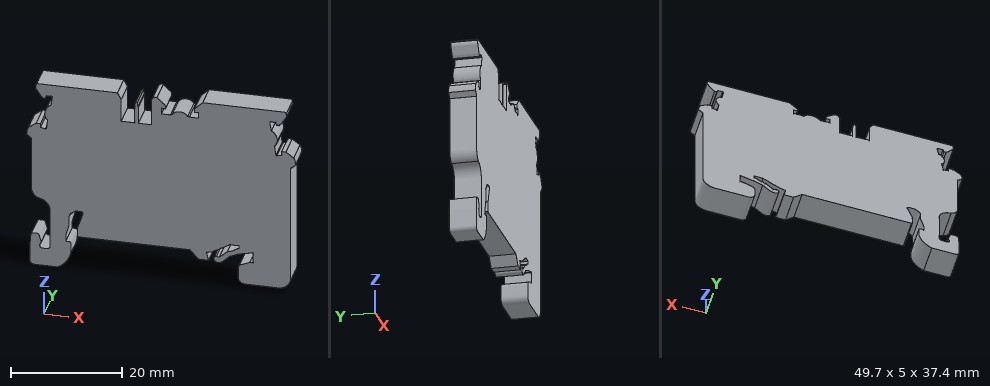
import cadquery as cq

LENGTH = 49.7
THICKNESS = 5.0
HEIGHT = 37.4

HALF_LENGTH = LENGTH / 2
SIDE_X = 23.95
RAIL_Z = 6.7

SLOT_FLOOR_Z = 31.65
SLOT_LEFT_X = -7.35
SLOT_RIGHT_X = -1.8
FIN_LEFT_X = -4.85
FIN_RIGHT_X = -4.15
FIN_TOP_Z = 35.9

GROOVE_X = 3.5
GROOVE_FLOOR_Z = 34.15
GROOVE_LIP_Z = 35.25
GROOVE_LIP_TOP_Z = 36.0
GROOVE_HALF_WIDTH = 3.45
GROOVE_MOUTH_HALF = 2.7
GROOVE_TOP_HALF = 4.2
DOME_HALF_WIDTH = 1.45
DOME_BASE_Z = 34.25
DOME_BLEND = 0.3
DOME_TOP_Z = 35.0

LEG_X = -20.55
SHOULDER_TOP_Z = 15.95
SHOULDER_LOW_Z = 11.2
FOOT_X = -24.25
HOOK_TOP_Z = 6.5
HOOK_FLOOR_Z = 3.6
FOOT_TOE_Z = 5.55
LEG_SLOT_TOP_Z = 12.0
LEG_SLOT_X = -15.45

RIGHT_FOOT_Z = 0.95
RIGHT_FOOT_X = 14.2
RIGHT_FOOT_CORNER = 2.3
LATCH_Z = 4.95
SPRING_SLOT_TOP_Z = 8.75

INSERT_DEPTH = 2.5
SCREW_X = 17.2
SCREW_Y = 2.3
SCREW_RADIUS = 2.75
SCREW_Y_RANGE = (0.15, 4.55)
FRAME_X_RANGE = (10.05, 13.9)
FRAME_Y_RANGE = (0.65, 4.4)
FRAME_NOTCH_DEPTH = 0.65
FRAME_NOTCH_Y_RANGE = (1.2, 3.9)
FRAME_NOTCH_CORNER = 0.25
CONTACT_X = 12.35
CONTACT_Y = 2.55
CONTACT_WIDTH = 1.0
CONTACT_RADIUS = 1.0
CONTACT_Y_RANGE = (0.75, 4.3)

BUTTON_X = -9.4
BUTTON_RADIUS = 1.4
BUTTON_RIGHT_X = -8.55
BUTTON_TAB_X = -10.8
BUTTON_TAB_WIDTH = 1.15

STRIP_Y_RANGE = (0.45, 4.55)

WING_CORNER = [(22.8, HEIGHT), (23.0, 37.3), (23.1, 37.1)]
WING_NOSE = [WING_CORNER[-1], (23.2, 36.7), (23.1, 36.3)]
KNOB = [(20.4, 33.25), (21.45, 31.65), (21.2, 30.4)]
LIP_FLOOR_Z = 35.1
WING_UPPER = [
    (22.15, 34.9),
    (21.75, 34.5),
    (21.35, 34.5),
    (21.15, LIP_FLOOR_Z),
    (20.3, LIP_FLOOR_Z),
    (20.1, 34.9),
    KNOB[0],
]
WING_LOWER = [
    (20.95, 30.1),
    (21.0, 29.6),
    (21.2, 28.35),
    (21.35, 28.25),
    (22.25, 28.5),
    (22.25, 29.2),
    (23.05, 29.2),
    (24.5, 28.2),
    (24.7, 27.85),
    (HALF_LENGTH, 27.15),
    (HALF_LENGTH, 26.75),
    (SIDE_X, 25.9),
]


def mirrored(points):
    """Points reflected to the other side of X = 0 and taken in reverse order."""
    return [(-x, z) for x, z in reversed(points)]


def add_lines(outline, points):
    """Outline continued with straight lines through the points."""
    for point in points:
        outline = outline.lineTo(*point)
    return outline


def add_left_wing(outline):
    """Left side groove, from the flat side up to the top edge."""
    knob_start, knob_crest, knob_end = mirrored(KNOB)
    nose_start, nose_middle, nose_end = mirrored(WING_NOSE)
    _, corner_middle, corner_end = mirrored(WING_CORNER)
    outline = add_lines(outline, mirrored(WING_LOWER))
    outline = outline.lineTo(*knob_start).threePointArc(knob_crest, knob_end)
    outline = add_lines(outline, mirrored(WING_UPPER)[1:])
    outline = outline.lineTo(*nose_start).threePointArc(nose_middle, nose_end)
    return outline.threePointArc(corner_middle, corner_end)


def add_top_slots(outline):
    """Two deep slots with a thin fin left standing between them."""
    outline = add_lines(outline, [
        (-8.05, HEIGHT),
        (SLOT_LEFT_X, 36.15),
        (SLOT_LEFT_X, SLOT_FLOOR_Z),
        (FIN_LEFT_X, SLOT_FLOOR_Z),
        (FIN_LEFT_X, 35.4),
        (-4.7, FIN_TOP_Z),
        (-4.35, FIN_TOP_Z),
        (-4.25, 35.1),
        (FIN_RIGHT_X, 35.0),
        (FIN_RIGHT_X, SLOT_FLOOR_Z),
        (SLOT_RIGHT_X, SLOT_FLOOR_Z),
        (SLOT_RIGHT_X, 36.75),
        (-1.65, 37.0),
    ])
    return outline.threePointArc((-1.5, 37.28), (-1.1, HEIGHT))


def add_marker_groove(outline):
    """Undercut groove between two lips, with a dome in the middle of its floor."""
    outline = add_lines(outline, [
        (GROOVE_X - GROOVE_TOP_HALF, HEIGHT),
        (0.45, 36.3),
    ])
    outline = outline.threePointArc((0.7, 36.05), (GROOVE_X - GROOVE_MOUTH_HALF, 35.75))
    outline = add_lines(outline, [
        (GROOVE_X - GROOVE_MOUTH_HALF, GROOVE_LIP_Z),
        (GROOVE_X - GROOVE_HALF_WIDTH, GROOVE_LIP_Z),
        (GROOVE_X - GROOVE_HALF_WIDTH, GROOVE_FLOOR_Z),
        (GROOVE_X - DOME_HALF_WIDTH - DOME_BLEND, GROOVE_FLOOR_Z),
        (GROOVE_X - DOME_HALF_WIDTH, DOME_BASE_Z),
    ])
    outline = outline.threePointArc((GROOVE_X, DOME_TOP_Z), (GROOVE_X + DOME_HALF_WIDTH, DOME_BASE_Z))
    return add_lines(outline, [
        (GROOVE_X + DOME_HALF_WIDTH + DOME_BLEND, GROOVE_FLOOR_Z),
        (GROOVE_X + GROOVE_HALF_WIDTH, GROOVE_FLOOR_Z),
        (GROOVE_X + GROOVE_HALF_WIDTH, GROOVE_LIP_Z),
        (GROOVE_X + GROOVE_MOUTH_HALF, GROOVE_LIP_Z),
        (GROOVE_X + GROOVE_MOUTH_HALF, GROOVE_LIP_TOP_Z),
        (GROOVE_X + GROOVE_TOP_HALF, HEIGHT),
    ])


def add_right_wing(outline):
    """Right side groove, from the top edge down to the flat side."""
    corner_start, corner_middle, corner_end = WING_CORNER
    _, nose_middle, nose_end = WING_NOSE
    _, knob_crest, knob_end = KNOB
    outline = outline.lineTo(*corner_start).threePointArc(corner_middle, corner_end)
    outline = outline.threePointArc(nose_middle, nose_end)
    outline = add_lines(outline, WING_UPPER)
    outline = outline.threePointArc(knob_crest, knob_end)
    return add_lines(outline, WING_LOWER)


def add_right_foot(outline):
    """Rounded foot, sprung finger and fixed latch nose."""
    corner_mid = RIGHT_FOOT_CORNER * (1 - 0.5 ** 0.5)
    outline = (
        outline
        .lineTo(SIDE_X, RIGHT_FOOT_Z + RIGHT_FOOT_CORNER)
        .threePointArc(
            (SIDE_X - corner_mid, RIGHT_FOOT_Z + corner_mid),
            (SIDE_X - RIGHT_FOOT_CORNER, RIGHT_FOOT_Z),
        )
        .lineTo(15.4, RIGHT_FOOT_Z)
        .threePointArc((14.55, 1.35), (RIGHT_FOOT_X, 2.25))
        .lineTo(RIGHT_FOOT_X, 4.15)
        .threePointArc((14.35, 4.55), (14.7, 4.85))
    )
    outline = add_lines(outline, [
        (16.4, 5.55),
        (17.0, 5.55),
        (17.0, 7.55),
        (16.8, 7.6),
        (14.25, 6.95),
        (12.7, 6.3),
        (11.35, 5.0),
    ])
    outline = outline.threePointArc((10.65, 4.75), (10.0, 4.9)).threePointArc((9.7, 5.5), (10.25, 6.05))
    return add_lines(outline, [
        (10.75, 5.9),
        (12.25, 7.2),
        (13.3, 7.6),
        (13.95, 8.05),
        (14.35, 8.2),
        (14.35, SPRING_SLOT_TOP_Z),
        (12.65, SPRING_SLOT_TOP_Z),
        (10.55, 7.45),
        (9.4, 6.85),
        (8.4, 6.6),
        (8.8, LATCH_Z),
        (6.9, LATCH_Z),
        (5.3, RAIL_Z),
    ])


def add_left_foot(outline):
    """Flexible leg ending in an upturned hook."""
    outline = add_lines(outline, [
        (LEG_SLOT_X + 0.2, RAIL_Z),
        (LEG_SLOT_X, RAIL_Z + 0.2),
        (LEG_SLOT_X, 8.7),
        (-14.45, 11.65),
    ])
    outline = (
        outline
        .threePointArc((-14.5, 11.9), (-14.75, LEG_SLOT_TOP_Z))
        .lineTo(-15.6, LEG_SLOT_TOP_Z)
        .threePointArc((-16.45, 11.55), (-17.0, 10.7))
    )
    outline = add_lines(outline, [
        (-17.0, 8.95),
        (-17.6, 6.75),
        (-17.6, FOOT_TOE_Z),
        (-17.0, FOOT_TOE_Z),
    ])
    outline = (
        outline
        .threePointArc((-16.75, 5.45), (-16.65, 5.2))
        .lineTo(-16.65, 4.2)
        .threePointArc((-17.4, 1.5), (-19.1, 0.0))
        .lineTo(-23.45, 0.0)
        .threePointArc((-24.0, 0.25), (FOOT_X, 0.9))
    )
    outline = add_lines(outline, [
        (FOOT_X, 4.1),
        (-24.1, 6.0),
    ])
    outline = outline.threePointArc((-23.95, 6.35), (-23.6, HOOK_TOP_Z))
    outline = outline.lineTo(-22.9, HOOK_TOP_Z).threePointArc((-22.65, 6.4), (-22.5, 6.15))
    outline = add_lines(outline, [
        (-22.1, 4.75),
        (-22.35, 4.25),
    ])
    return (
        outline
        .threePointArc((-22.3, 3.8), (-21.9, HOOK_FLOOR_Z))
        .lineTo(-20.95, HOOK_FLOOR_Z)
        .threePointArc((-20.7, 3.75), (LEG_X, 4.05))
        .lineTo(LEG_X, SHOULDER_LOW_Z)
        .threePointArc((-21.15, 13.05), (-22.7, 13.8))
        .threePointArc((-23.55, 14.5), (-SIDE_X, SHOULDER_TOP_Z))
    )


def housing():
    """Closed outline, clockwise from the left shoulder, extruded through the thickness."""
    outline = cq.Workplane("XZ").moveTo(-SIDE_X, SHOULDER_TOP_Z)
    outline = add_left_wing(outline)
    outline = add_top_slots(outline)
    outline = add_marker_groove(outline)
    outline = add_right_wing(outline)
    outline = add_right_foot(outline)
    outline = add_left_foot(outline)
    return outline.close().extrude(-THICKNESS)


def insert_block(x_range, y_range, top_z=HEIGHT):
    """Rectangular block whose upper face lies at top_z."""
    return cq.Workplane("XY").box(
        x_range[1] - x_range[0],
        y_range[1] - y_range[0],
        INSERT_DEPTH,
        centered=False,
    ).translate((x_range[0], y_range[0], top_z - INSERT_DEPTH))


def insert_cylinder(x, y, radius):
    """Upright cylinder whose upper face lies in the top edge."""
    return cq.Workplane("XY", origin=(x, y, HEIGHT - INSERT_DEPTH)).circle(radius).extrude(INSERT_DEPTH)


def screw_head():
    """Round head trimmed by flats at the front and back."""
    head = insert_cylinder(SCREW_X, SCREW_Y, SCREW_RADIUS)
    return head.intersect(insert_block((SCREW_X - SCREW_RADIUS, SCREW_X + SCREW_RADIUS), SCREW_Y_RANGE))


def contact():
    """Narrow bar across the frame with a round middle."""
    half_width = CONTACT_WIDTH / 2
    bar = insert_block((CONTACT_X - half_width, CONTACT_X + half_width), CONTACT_Y_RANGE)
    return bar.union(insert_cylinder(CONTACT_X, CONTACT_Y, CONTACT_RADIUS))


def frame():
    """Plate with a round-cornered notch in its inner side."""
    inner_x = FRAME_X_RANGE[0]
    notch = insert_block((inner_x, inner_x + FRAME_NOTCH_DEPTH), FRAME_NOTCH_Y_RANGE)
    notch = notch.edges("|Z and >X").fillet(FRAME_NOTCH_CORNER)
    return insert_block(FRAME_X_RANGE, FRAME_Y_RANGE).cut(notch)


def button():
    """Round button with a flat right side and a small tab on the left."""
    half_tab = BUTTON_TAB_WIDTH / 2
    tab = insert_block((BUTTON_TAB_X, BUTTON_X), (CONTACT_Y - half_tab, CONTACT_Y + half_tab))
    body = insert_cylinder(BUTTON_X, CONTACT_Y, BUTTON_RADIUS)
    body = body.intersect(insert_block(
        (BUTTON_X - BUTTON_RADIUS, BUTTON_RIGHT_X),
        (CONTACT_Y - BUTTON_RADIUS, CONTACT_Y + BUTTON_RADIUS),
    ))
    return body.union(tab)


def set_flush(body, insert):
    """Join the insert to the body, keeping the outline of its upper face as edges."""
    return body.cut(insert, clean=False).union(insert, clean=False)


result = housing()
for part in (screw_head(), frame(), contact()):
    result = set_flush(result, part)
    result = set_flush(result, part.mirror("YZ"))
result = set_flush(result, button())
for slot in ((SLOT_LEFT_X, FIN_LEFT_X), (FIN_RIGHT_X, SLOT_RIGHT_X)):
    result = set_flush(result, insert_block(slot, STRIP_Y_RANGE, SLOT_FLOOR_Z))
result = result.solids()